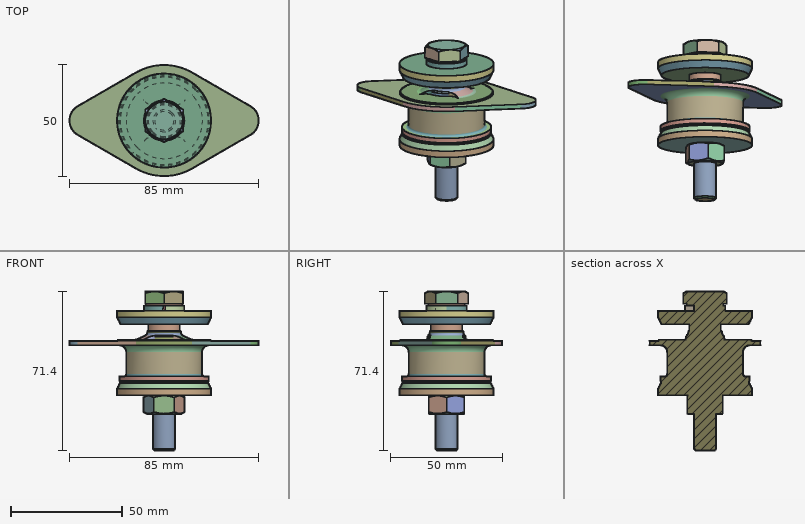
import cadquery as cq
import math

total_height = 71.4
nut_bottom = 16.4
nut_height = 8.4
lower_disc_bottom = nut_bottom + nut_height
lower_disc_thickness = 5.4
lower_disc_top = lower_disc_bottom + lower_disc_thickness
seal_top = 30.8
lip_bottom = 31.3
lip_top = 33.3
plate_bottom = 47.2
plate_thickness = 2.0
plate_top = plate_bottom + plate_thickness
pad_thickness = 0.6
pad_top = plate_top + pad_thickness
upper_disc_bottom = 56.7
upper_disc_thickness = 6.0
upper_disc_top = upper_disc_bottom + upper_disc_thickness
spring_washer_thickness = 2.3
spring_washer_top = upper_disc_top + spring_washer_thickness
head_height = 5.6
head_bottom = total_height - head_height

plate_length = 85.0
plate_middle_radius = 25.0
plate_tip_radius = 7.5
tip_center = plate_length / 2 - plate_tip_radius
edge_angle = math.asin((plate_middle_radius - plate_tip_radius) / tip_center)

cup_radius = 17.1
cup_top_fillet = 3.0
cup_bottom_fillet = 1.0
lip_radius = 20.1
seal_radius = 19.7

pad_base_radius = 21.1
pad_radius = 20.65
neck_radius = 7.1
collar_radius = 7.65
collar_top = 53.4
core_radius = 8.7
core_shoulder_radius = 8.1
core_shoulder_bottom = 51.1
core_shoulder_top = 51.85
flare_angle = 25.0
flare_foot_radius = 12.5
flare_top_fillet = 1.3
flare_foot_fillet = 3.4
lobe_half_angle = 45.0
lobe_root_fillet = 3.7

disc_radius = 21.2
disc_rim_height = 2.9
disc_taper_angle = 26.0

bolt_radius = 5.0
bolt_chamfer = 0.8
head_flats = 17.0
head_top_radius = 8.4
head_seat_radius = 8.25
head_turn = 30.0
nut_flats = 16.1
nut_face_radius = 7.65
nut_turn = 0.0
hex_chamfer_angle = 30.0
spring_washer_radius = 9.1
split_width = 0.9
split_angle = 4.0


def cylinder(radius, bottom, top):
    return cq.Workplane("XY").workplane(offset=bottom).circle(radius).extrude(top - bottom)


def revolved(profile):
    """Turn a closed (radius, height) profile drawn in XZ about the Z axis."""
    return profile.close().revolve(360, (0, 0, 0), (0, 1, 0))


def make_plate():
    sine = math.sin(edge_angle)
    cosine = math.cos(edge_angle)
    middle_x = plate_middle_radius * sine
    middle_y = plate_middle_radius * cosine
    tip_x = tip_center + plate_tip_radius * sine
    tip_y = plate_tip_radius * cosine
    return (
        cq.Workplane("XY").workplane(offset=plate_bottom)
        .moveTo(-middle_x, middle_y)
        .threePointArc((0, plate_middle_radius), (middle_x, middle_y))
        .lineTo(tip_x, tip_y)
        .threePointArc((plate_length / 2, 0), (tip_x, -tip_y))
        .lineTo(middle_x, -middle_y)
        .threePointArc((0, -plate_middle_radius), (-middle_x, -middle_y))
        .lineTo(-tip_x, -tip_y)
        .threePointArc((-plate_length / 2, 0), (-tip_x, tip_y))
        .close()
        .extrude(plate_thickness)
    )


def make_cup():
    """Straight cup wall, blended into the plate above and a bevelled lip and seal ring below."""
    return revolved(
        cq.Workplane("XZ")
        .moveTo(0, lower_disc_top)
        .lineTo(seal_radius, lower_disc_top)
        .lineTo(seal_radius, seal_top)
        .lineTo(lip_radius, lip_bottom)
        .lineTo(lip_radius, lip_top)
        .lineTo(cup_radius + cup_bottom_fillet, lip_top)
        .radiusArc((cup_radius, lip_top + cup_bottom_fillet), cup_bottom_fillet)
        .lineTo(cup_radius, plate_bottom - cup_top_fillet)
        .radiusArc((cup_radius + cup_top_fillet, plate_bottom), cup_top_fillet)
        .lineTo(0, plate_bottom)
    )


def make_neck():
    """Sleeve, chamfered collar and conical flare, with the flare cut down to lobes towards -X and +X."""
    slope = math.radians(flare_angle)
    foot_tangent = flare_foot_fillet * math.tan(slope / 2)
    top_tangent = flare_top_fillet * math.tan((math.pi / 2 - slope) / 2)
    corner_height = pad_top + (flare_foot_radius - collar_radius) * math.tan(slope)
    foot_end = (flare_foot_radius + foot_tangent, pad_top)
    foot_start = (
        flare_foot_radius - foot_tangent * math.cos(slope),
        pad_top + foot_tangent * math.sin(slope),
    )
    top_end = (
        collar_radius + top_tangent * math.cos(slope),
        corner_height - top_tangent * math.sin(slope),
    )
    top_start = (collar_radius, corner_height + top_tangent)
    neck = revolved(
        cq.Workplane("XZ")
        .moveTo(0, plate_top)
        .lineTo(pad_base_radius, plate_top)
        .lineTo(pad_radius, pad_top)
        .lineTo(*foot_end)
        .radiusArc(foot_start, flare_foot_fillet)
        .lineTo(*top_end)
        .radiusArc(top_start, flare_top_fillet)
        .lineTo(collar_radius, collar_top)
        .lineTo(neck_radius, collar_top + collar_radius - neck_radius)
        .lineTo(neck_radius, upper_disc_bottom)
        .lineTo(0, upper_disc_bottom)
    )
    return neck.cut(make_lobe_gap(1)).cut(make_lobe_gap(-1))


def make_core():
    """Round core left standing between the lobes, with a bevelled shoulder."""
    return revolved(
        cq.Workplane("XZ")
        .moveTo(0, plate_top)
        .lineTo(core_radius, plate_top)
        .lineTo(core_radius, core_shoulder_bottom)
        .lineTo(core_shoulder_radius, core_shoulder_top)
        .lineTo(0, core_shoulder_top)
    )


def make_lobe_gap(side):
    """Sector between the lobes on the +Y or -Y side, with its root corners blended into the core."""
    def polar(radius, angle):
        return (radius * math.sin(angle), side * radius * math.cos(angle))

    def mirrored(point):
        return (-point[0], point[1])

    half_angle = math.pi / 2 - math.radians(lobe_half_angle)
    center_radius = core_radius + lobe_root_fillet
    blend_angle = math.asin(lobe_root_fillet / center_radius)
    root_angle = half_angle - blend_angle
    wall_radius = center_radius * math.cos(blend_angle)
    center = polar(center_radius, root_angle)
    start = polar(core_radius, root_angle)
    end = polar(wall_radius, half_angle)
    chord_x = (start[0] + end[0]) / 2 - center[0]
    chord_y = (start[1] + end[1]) / 2 - center[1]
    stretch = lobe_root_fillet / math.hypot(chord_x, chord_y)
    middle = (center[0] + chord_x * stretch, center[1] + chord_y * stretch)
    far_corner = polar(pad_radius, half_angle)
    prism = (
        cq.Workplane("XY").workplane(offset=pad_top)
        .lineTo(*start)
        .threePointArc(middle, end)
        .lineTo(*far_corner)
        .lineTo(*mirrored(far_corner))
        .lineTo(*mirrored(end))
        .threePointArc(mirrored(middle), mirrored(start))
        .close()
        .extrude(core_shoulder_top - pad_top)
    )
    return prism.cut(make_core())


def make_disc(rim_face, inner_face):
    """Clamping disc with a straight rim at its outer face, tapering towards the housing."""
    direction = math.copysign(1, inner_face - rim_face)
    taper_height = abs(inner_face - rim_face) - disc_rim_height
    face_radius = disc_radius - taper_height * math.tan(math.radians(disc_taper_angle))
    rim_end = rim_face + direction * disc_rim_height
    return revolved(
        cq.Workplane("XZ")
        .moveTo(0, rim_face)
        .lineTo(disc_radius, rim_face)
        .lineTo(disc_radius, rim_end)
        .lineTo(face_radius, inner_face)
        .lineTo(0, inner_face)
    )


def chamfer_cone(face_radius, face, direction):
    """Cone that trims hexagon corners; it widens from the face in the given Z direction."""
    cone_height = total_height
    base_radius = face_radius + cone_height / math.tan(math.radians(hex_chamfer_angle))
    return revolved(
        cq.Workplane("XZ")
        .moveTo(0, face)
        .lineTo(face_radius, face)
        .lineTo(base_radius, face + direction * cone_height)
        .lineTo(0, face + direction * cone_height)
    )


def hexagon(flats, bottom, height, turn):
    """Hexagonal prism; at zero turn two corners lie on the X axis."""
    corner_diameter = flats / math.cos(math.pi / 6)
    prism = cq.Workplane("XY").workplane(offset=bottom).polygon(6, corner_diameter).extrude(height)
    return prism.rotate((0, 0, 0), (0, 0, 1), turn)


def make_head():
    head = hexagon(head_flats, head_bottom, head_height, head_turn)
    return head.intersect(chamfer_cone(head_top_radius, total_height, -1))


def make_nut():
    nut = hexagon(nut_flats, nut_bottom, nut_height, nut_turn)
    nut = nut.intersect(chamfer_cone(nut_face_radius, nut_bottom, 1))
    return nut.intersect(chamfer_cone(nut_face_radius, nut_bottom + nut_height, -1))


def make_spring_washer():
    """Washer with one slanted split on the -Y side."""
    split_center_y = -bolt_radius - spring_washer_radius / 2
    split_center_z = upper_disc_top + spring_washer_thickness / 2
    washer = cylinder(spring_washer_radius, upper_disc_top, spring_washer_top)
    split = (
        cq.Workplane("XY")
        .box(split_width, spring_washer_radius, 2 * spring_washer_thickness)
        .rotate((0, 0, 0), (0, 1, 0), split_angle)
        .translate((0, split_center_y, split_center_z))
    )
    return washer.cut(split)


def make_bolt():
    """Plain shank reaching into the middle of the head."""
    shank = cylinder(bolt_radius, 0, total_height - head_height / 2)
    return shank.faces("<Z").chamfer(bolt_chamfer)


result = make_plate()
for piece in (
    make_cup(),
    make_neck(),
    make_disc(lower_disc_bottom, lower_disc_top),
    make_disc(upper_disc_top, upper_disc_bottom),
    make_spring_washer(),
    cylinder(head_seat_radius, spring_washer_top, head_bottom),
    make_head(),
    make_nut(),
    make_bolt(),
):
    result = result.union(piece)